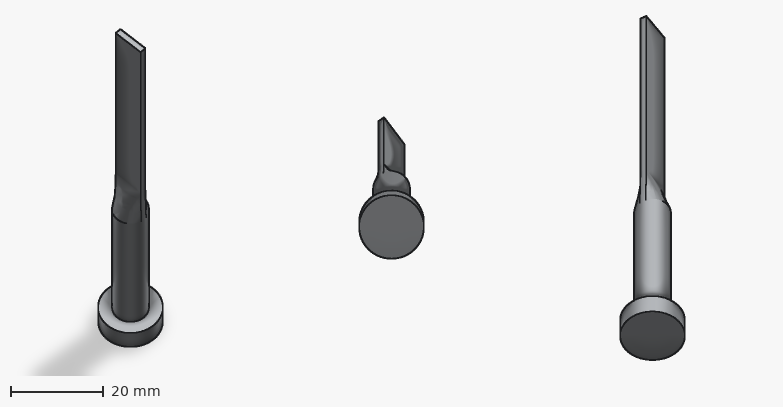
import cadquery as cq
import math

total_length = 100.0
head_diameter = 14.0
head_height = 5.0
shank_diameter = 8.0
shank_top = 40.0
blade_length = 50.0
blade_width = 7.5
blade_thickness = 1.5

blade_base = total_length - blade_length
transition_height = blade_base - shank_top


def cylinder(diameter, bottom, top):
    """Upright cylinder on the part axis."""
    return cq.Workplane("XY").workplane(offset=bottom).circle(diameter / 2).extrude(top - bottom)


head = cylinder(head_diameter, 0, head_height)
shank = cylinder(shank_diameter, head_height, shank_top)

shank_radius = shank_diameter / 2
split_y = blade_thickness / 2
split_x = math.sqrt(shank_radius**2 - split_y**2)
transition = (
    cq.Workplane("XY")
    .workplane(offset=shank_top)
    .moveTo(-split_x, -split_y)
    .threePointArc((0, -shank_radius), (split_x, -split_y))
    .threePointArc((shank_radius, 0), (split_x, split_y))
    .threePointArc((0, shank_radius), (-split_x, split_y))
    .threePointArc((-shank_radius, 0), (-split_x, -split_y))
    .close()
    .workplane(offset=transition_height, origin=(0, 0, shank_top))
    .rect(blade_width, blade_thickness)
    .loft(ruled=True)
)

blade = (
    cq.Workplane("XY")
    .workplane(offset=blade_base)
    .rect(blade_width, blade_thickness)
    .extrude(blade_length)
)

result = head.union(shank).union(transition).union(blade)